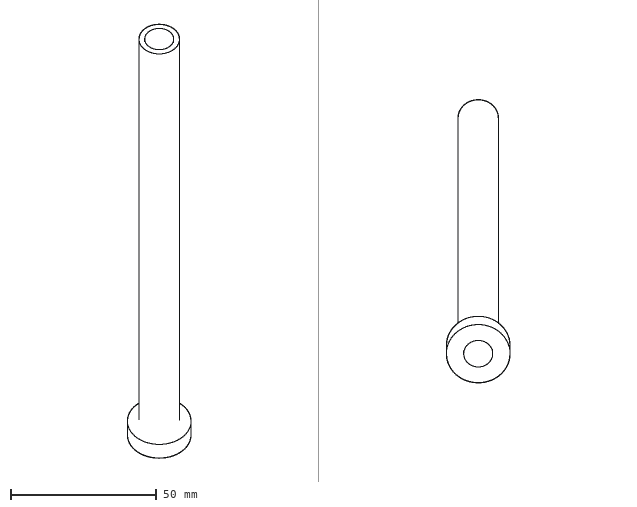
import cadquery as cq

total_length = 200.0
head_diameter = 22.0
head_height = 7.0
shaft_diameter = 14.0
bore_diameter = 10.0
root_fillet = 0.5

head_radius = head_diameter / 2
shaft_radius = shaft_diameter / 2
bore_radius = bore_diameter / 2

profile = (
    cq.Workplane("XZ")
    .moveTo(bore_radius, 0)
    .lineTo(head_radius, 0)
    .lineTo(head_radius, head_height)
    .lineTo(shaft_radius + root_fillet, head_height)
    .radiusArc((shaft_radius, head_height + root_fillet), root_fillet)
    .lineTo(shaft_radius, total_length)
    .lineTo(bore_radius, total_length)
    .close()
)

result = profile.revolve(360, (0, 0, 0), (0, 1, 0))